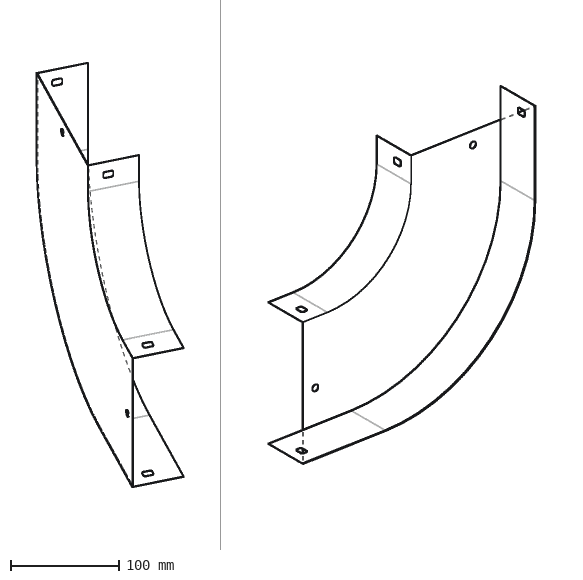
import cadquery as cq
import math


size = 280.0
depth = 50.0
sheet = 0.8
channel_width = 150.0
outer_straight = 100.0
inner_straight = 30.0
end_offset = 15.0
plate_hole_diameter = 7.0
slot_along_wall = 7.0
slot_across_wall = 9.8
slot_corner = 2.0
slot_from_plate = 20.2

outer_radius = size - outer_straight
inner_radius = size - channel_width - inner_straight
hole_position = size - end_offset


def arc_middle(center, radius):
    """Point of the bend arc on its diagonal, facing the -X -Z corner."""
    reach = radius * math.cos(math.radians(45))
    return (center - reach, center - reach)


def bend_prism(inset, front, back):
    """Bend outline with both side walls offset inward by inset, between two Y values."""
    near = inset
    far = channel_width - inset
    outer_mid = arc_middle(outer_radius, outer_radius - inset)
    inner_center = channel_width + inner_radius
    inner_mid = arc_middle(inner_center, inner_radius + inset)
    return (
        cq.Workplane("XZ", origin=(0, front, 0))
        .moveTo(near, size)
        .lineTo(near, outer_radius)
        .threePointArc(outer_mid, (outer_radius, near))
        .lineTo(size, near)
        .lineTo(size, far)
        .lineTo(inner_center, far)
        .threePointArc(inner_mid, (far, inner_center))
        .lineTo(far, size)
        .close()
        .extrude(front - back)
    )


def plate_holes():
    """Round hole through the plate at the middle of each channel end."""
    middle = channel_width / 2
    return (
        cq.Workplane("XZ")
        .pushPoints([(middle, hole_position), (hole_position, middle)])
        .circle(plate_hole_diameter / 2)
        .extrude(-depth)
    )


def wall_slots():
    """Rounded slot cutters crossing both side walls, one for each channel end."""
    upper_end = (
        cq.Workplane("XY")
        .box(channel_width, slot_across_wall, slot_along_wall)
        .edges("|X").fillet(slot_corner)
        .translate((channel_width / 2, slot_from_plate, hole_position))
    )
    right_end = (
        cq.Workplane("XY")
        .box(slot_along_wall, slot_across_wall, channel_width)
        .edges("|Z").fillet(slot_corner)
        .translate((hole_position, slot_from_plate, channel_width / 2))
    )
    return upper_end.union(right_end)


channel = bend_prism(0, 0, depth).cut(bend_prism(sheet, sheet, depth))
result = channel.cut(plate_holes()).cut(wall_slots())